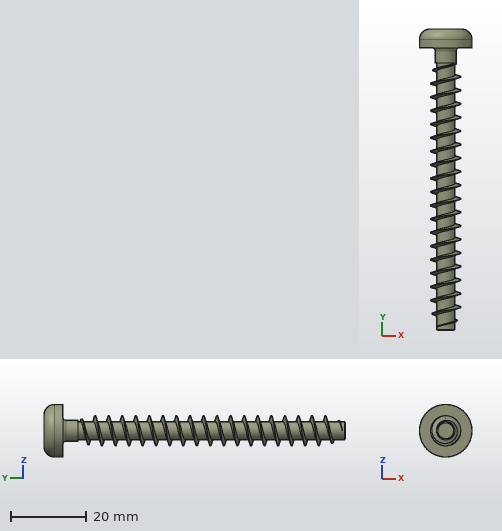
import cadquery as cq
import math


head_radius = 7.0
head_height = 5.0
head_edge_radius = 2.8

shank_radius = 2.82
shank_length = 4.0
neck_fillet = 0.85

length_below_head = 74.99
core_radius = 2.42
tip_radius = 2.1
tip_chamfer_length = 0.3

pitch = 3.593
thread_radius = 4.0
thread_start = 4.1
thread_turns = 19.5
run_in_turns = 1.0
run_out_turns = 1.25
run_in_radius = 2.9
run_out_radius = 2.45
crest_width = 0.1
flank_angle = 15.0
root_overlap = 0.25
root_radius = core_radius - root_overlap

points_per_turn = 16


def make_body():
    """Head, shank and core as one turned profile, without the thread."""
    profile = (
        cq.Workplane("XY")
        .moveTo(0, head_height)
        .lineTo(head_radius - head_edge_radius, head_height)
        .radiusArc((head_radius, head_height - head_edge_radius), head_edge_radius)
        .lineTo(head_radius, 0)
        .lineTo(shank_radius + neck_fillet, 0)
        .radiusArc((shank_radius, -neck_fillet), -neck_fillet)
        .lineTo(shank_radius, -shank_length)
        .lineTo(core_radius, -shank_length)
        .lineTo(core_radius, tip_chamfer_length - length_below_head)
        .lineTo(tip_radius, -length_below_head)
        .lineTo(0, -length_below_head)
        .close()
    )
    return profile.revolve(360, (0, 0, 0), (0, 1, 0))


def helix_point(turn, radius, offset):
    """Point on the helix, shifted along the axis by the given offset towards the head."""
    angle = 2 * math.pi * turn
    return cq.Vector(
        radius * math.cos(angle),
        offset - thread_start - pitch * turn,
        radius * math.sin(angle),
    )


def make_ridge(first_turn, last_turn, first_radius, last_radius):
    """Stretch of thread whose crest radius changes evenly from its first turn to its last."""
    half_crest = crest_width / 2
    flank_slope = math.tan(math.radians(flank_angle))
    steps = math.ceil((last_turn - first_turn) * points_per_turn)

    corners = [(False, 1), (True, 1), (True, -1), (False, -1)]
    edges = []
    for on_crest, side in corners:
        points = []
        for step in range(steps + 1):
            share = step / steps
            turn = first_turn + share * (last_turn - first_turn)
            crest = first_radius + share * (last_radius - first_radius)
            radius = crest if on_crest else root_radius
            offset = half_crest + (crest - radius) * flank_slope
            points.append(helix_point(turn, radius, side * offset))
        edges.append(cq.Edge.makeSpline(points))

    faces = []
    for edge, next_edge in zip(edges, edges[1:] + edges[:1]):
        faces.append(cq.Face.makeRuledSurface(edge, next_edge))
    for end in (0, 1):
        outline = [edge.positionAt(end) for edge in edges]
        faces.append(cq.Face.makeFromWires(cq.Wire.makePolygon(outline, close=True)))
    return cq.Solid.makeSolid(cq.Shell.makeShell(faces))


full_start = run_in_turns
full_end = thread_turns - run_out_turns
run_in = make_ridge(0, full_start, run_in_radius, thread_radius)
full_thread = make_ridge(full_start, full_end, thread_radius, thread_radius)
run_out = make_ridge(full_end, thread_turns, thread_radius, run_out_radius)

result = make_body()
for ridge in (run_in, full_thread, run_out):
    result = result.union(cq.Workplane(obj=ridge))